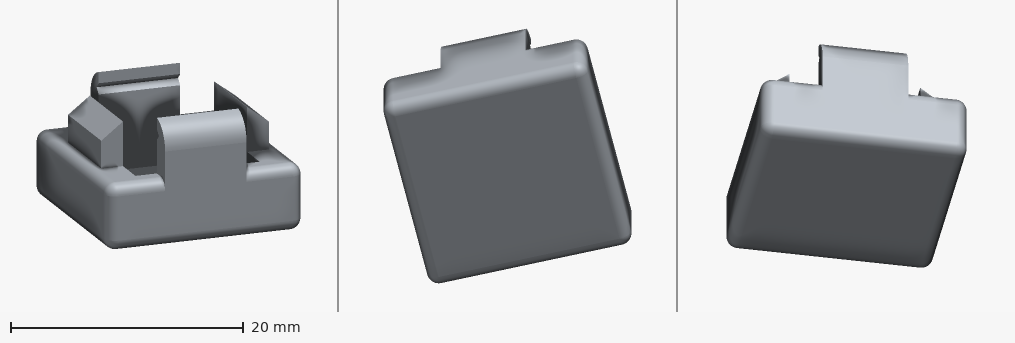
import cadquery as cq
import math

side = 18.0
base_height = 6.0
edge_radius = 1.0

cavity_length = 14.0
cavity_width = 11.41
floor_thickness = 2.0

arm_width = 7.49
arm_top = 11.0
arm_radius = 2.5
notch_depth = 0.5
notch_height = 9.5

clip_length = 8.0
clip_thickness = 2.0
clip_top = 10.0
clip_shoulder = 8.5

half_side = side / 2
half_cavity_length = cavity_length / 2
half_cavity_width = cavity_width / 2


def make_base():
    block = cq.Workplane("XY").box(side, side, base_height, centered=(True, True, False))
    return block.edges().fillet(edge_radius)


def make_arm():
    """Arm on the +X side, standing on the cavity floor level."""
    arc_center_x = half_side - arm_radius
    tip_angle = math.acos((half_cavity_length - arc_center_x) / arm_radius)
    arc_center_z = arm_top - arm_radius * math.sin(tip_angle)
    arc_middle = (
        arc_center_x + arm_radius * math.cos(tip_angle / 2),
        arc_center_z + arm_radius * math.sin(tip_angle / 2),
    )
    return (
        cq.Workplane("XZ")
        .moveTo(half_cavity_length, floor_thickness)
        .lineTo(half_side, floor_thickness)
        .lineTo(half_side, arc_center_z)
        .threePointArc(arc_middle, (half_cavity_length, arm_top))
        .lineTo(half_cavity_length, notch_height + notch_depth)
        .lineTo(half_cavity_length + notch_depth, notch_height)
        .lineTo(half_cavity_length, notch_height - notch_depth)
        .close()
        .extrude(arm_width / 2, both=True)
    )


def make_clip():
    """Clip on the +Y side, flush with the cavity wall."""
    outer_y = half_cavity_width + clip_thickness
    return (
        cq.Workplane("YZ")
        .moveTo(half_cavity_width, floor_thickness)
        .lineTo(outer_y, floor_thickness)
        .lineTo(outer_y, clip_shoulder)
        .lineTo(half_cavity_width, clip_top)
        .close()
        .extrude(clip_length / 2, both=True)
    )


cavity = (
    cq.Workplane("XY")
    .workplane(offset=floor_thickness)
    .rect(cavity_length, cavity_width)
    .extrude(base_height - floor_thickness)
)

result = make_base().cut(cavity)
for feature, mirror_plane in ((make_arm(), "YZ"), (make_clip(), "XZ")):
    result = result.union(feature).union(feature.mirror(mirror_plane))